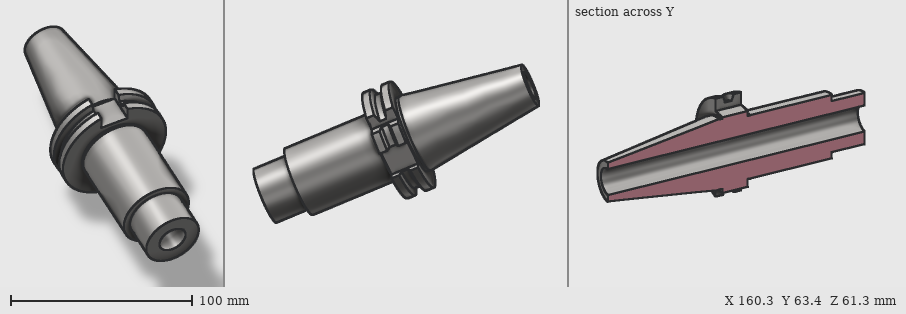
import cadquery as cq

total_length = 160.3
taper_end = 68.3
collar_end = 69.7
flange_start = 71.5
flange_end = 87.5
body_start = 88.8
body_end = 140.0

taper_small_radius = 12.3
collar_radius = 22.3
relief_depth = 0.2
flange_radius = 31.7
body_radius = 20.0
nose_radius = 16.2
bore_radius = 8.0

groove_center = 79.5
groove_floor_width = 3.8
groove_mouth_width = 6.7
groove_floor_radius = 28.0

slot_width = 16.0
upper_slot_floor = 23.0
lower_slot_floor = 24.8
notch_inner_y = 18.6
notch_top_z = -18.5


def turned_body():
    """Revolve the half section about the X axis."""
    floor_half = groove_floor_width / 2
    mouth_half = groove_mouth_width / 2
    profile = [
        (0, 0),
        (0, taper_small_radius),
        (taper_end, collar_radius),
        (collar_end, collar_radius),
        (collar_end, collar_radius - relief_depth),
        (flange_start, collar_radius - relief_depth),
        (flange_start, flange_radius),
        (groove_center - mouth_half, flange_radius),
        (groove_center - floor_half, groove_floor_radius),
        (groove_center + floor_half, groove_floor_radius),
        (groove_center + mouth_half, flange_radius),
        (flange_end, flange_radius),
        (flange_end, body_radius - relief_depth),
        (body_start, body_radius - relief_depth),
        (body_start, body_radius),
        (body_end, body_radius),
        (body_end, nose_radius),
        (total_length, nose_radius),
        (total_length, 0),
    ]
    return cq.Workplane("XY").polyline(profile).close().revolve(360, (0, 0, 0), (1, 0, 0))


def flange_cutter(y_min, y_max, z_min, z_max):
    """Box across the full flange width, for cutting its rim."""
    return cq.Workplane("XY").box(
        flange_end - flange_start, y_max - y_min, z_max - z_min, centered=False
    ).translate((flange_start, y_min, z_min))


half_slot = slot_width / 2
upper_slot = flange_cutter(-half_slot, half_slot, upper_slot_floor, flange_radius)
lower_slot = flange_cutter(-half_slot, half_slot, -flange_radius, -lower_slot_floor)
notch = flange_cutter(notch_inner_y, flange_radius, -flange_radius, notch_top_z)
bore = cq.Workplane("YZ").circle(bore_radius).extrude(total_length)

result = turned_body().cut(bore).cut(upper_slot).cut(lower_slot).cut(notch)